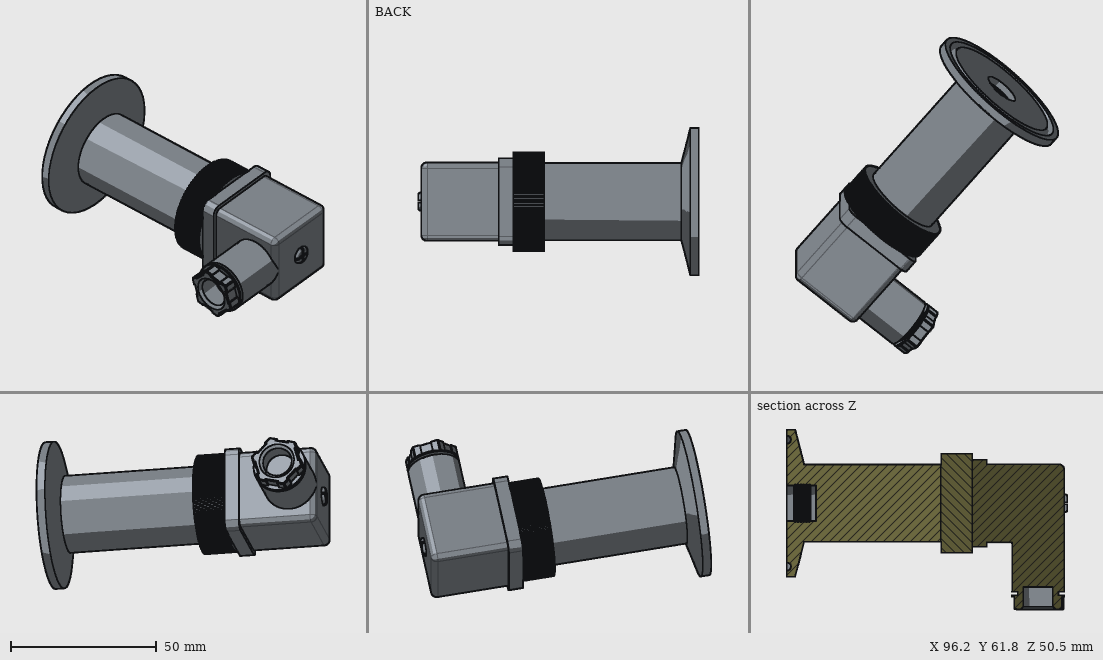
import cadquery as cq
import math


flange_diameter = 50.5
flange_rim_thickness = 3.0
flange_length = 6.1
tube_diameter = 26.55
tube_end = 52.9

groove_inner_diameter = 40.9
groove_outer_diameter = 46.2
groove_depth = 1.4

bore_diameter = 12.0
bore_depth = 10.0
thread_start = 2.5
thread_pitch = 1.0
thread_depth = 0.5
thread_turns = 6

collar_diameter = 34.0
collar_length = 10.8
knurl_teeth = 90
knurl_depth = 0.3

plate_size = 29.8
plate_length = 4.9
plate_corner_radius = 3.0
box_size = 26.9
box_length = 26.55
box_edge_radius = 2.0

total_length = 96.2
screw_diameter = 6.35
screw_edge_radius = 1.0
slot_width = 0.7

barrel_diameter = 18.0
barrel_reach = 30.4
neck_diameter = 14.1
neck_length = 1.1
nut_length = 5.0
nut_rim_length = 0.6
nut_sides = 6
nut_corner_diameter = 18.3
nut_turn = 46.0
nut_notch_width = 3.9
nut_notch_depth = 0.5
nut_end_chamfer = 0.4
cable_bore_diameter = 10.0
cable_bore_depth = 7.7
cable_bore_chamfer = 1.1

collar_end = tube_end + collar_length
plate_end = collar_end + plate_length
box_end = plate_end + box_length
screw_height = total_length - box_end
outlet_x = box_end - barrel_diameter / 2
nut_start = barrel_reach + neck_length
nut_end = nut_start + nut_length


def section_at(x):
    """Workplane across the main axis at the given x."""
    return cq.Workplane("YZ", origin=(x, 0, 0))


def outlet_section_at(reach):
    """Workplane across the cable outlet, `reach` away from the main axis; extrudes toward -Y."""
    return cq.Workplane("XZ", origin=(outlet_x, -reach, 0))


def spin(profile):
    """Revolve a closed XY profile about the X axis."""
    return profile.close().revolve(360, (0, 0, 0), (1, 0, 0))



def flange_and_tube():
    return spin(
        cq.Workplane("XY")
        .lineTo(0, flange_diameter / 2)
        .lineTo(flange_rim_thickness, flange_diameter / 2)
        .lineTo(flange_length, tube_diameter / 2)
        .lineTo(tube_end, tube_diameter / 2)
        .lineTo(tube_end, 0)
    )


def seal_groove():
    inner_radius = groove_inner_diameter / 2
    outer_radius = groove_outer_diameter / 2
    middle_radius = (inner_radius + outer_radius) / 2
    return spin(
        cq.Workplane("XY")
        .moveTo(0, inner_radius)
        .threePointArc((groove_depth, middle_radius), (0, outer_radius))
    )


def threaded_bore():
    """Plain bore with a row of V-shaped thread grooves, made from one saw-edged profile."""
    bore_radius = bore_diameter / 2
    profile = cq.Workplane("XY").lineTo(0, bore_radius).lineTo(thread_start, bore_radius)
    for turn in range(thread_turns):
        groove_x = thread_start + turn * thread_pitch
        profile = profile.lineTo(groove_x + thread_pitch / 2, bore_radius + thread_depth)
        profile = profile.lineTo(groove_x + thread_pitch, bore_radius)
    return spin(profile.lineTo(bore_depth, bore_radius).lineTo(bore_depth, 0))


def make_flanged_tube():
    return flange_and_tube().cut(seal_groove()).cut(threaded_bore())



def make_knurled_collar():
    """Disc with straight teeth; tips and gaps each take half of the tooth pitch."""
    tip_radius = collar_diameter / 2
    root_radius = tip_radius - knurl_depth
    pitch_angle = 2 * math.pi / knurl_teeth
    half_tip = pitch_angle / 4
    corners = (
        (root_radius, -half_tip),
        (tip_radius, -half_tip),
        (tip_radius, half_tip),
        (root_radius, half_tip),
    )
    points = []
    for tooth in range(knurl_teeth):
        for radius, offset_angle in corners:
            angle = tooth * pitch_angle + offset_angle
            points.append((radius * math.cos(angle), radius * math.sin(angle)))
    return section_at(tube_end).polyline(points).close().extrude(collar_length)



def base_plate():
    plate = section_at(collar_end).rect(plate_size, plate_size).extrude(plate_length)
    return plate.edges("|X").fillet(plate_corner_radius)


def connector_box():
    box = section_at(plate_end).rect(box_size, box_size).extrude(box_length)
    return box.edges("|X or >X").fillet(box_edge_radius)


def screw_head():
    head = section_at(box_end).circle(screw_diameter / 2).extrude(screw_height)
    head = head.faces(">X").edges().fillet(screw_edge_radius)
    slot = section_at(box_end).rect(slot_width, screw_diameter).extrude(screw_height)
    return head.cut(slot).cut(slot.rotate((0, 0, 0), (1, 0, 0), 90))


def gland_nut():
    """Round rim, then a hexagon with rounded corners and a shallow notch along each flat."""
    rim = outlet_section_at(nut_start).circle(barrel_diameter / 2).extrude(nut_rim_length)
    hexagon_start = nut_start + nut_rim_length
    hexagon_length = nut_length - nut_rim_length
    side_angle = 360 / nut_sides
    flat_distance = nut_corner_diameter / 2 * math.cos(math.pi / nut_sides)
    hexagon = (
        outlet_section_at(hexagon_start)
        .transformed(rotate=(0, 0, nut_turn))
        .polygon(nut_sides, nut_corner_diameter)
        .extrude(hexagon_length)
    )
    for side in range(nut_sides):
        notch = (
            outlet_section_at(hexagon_start)
            .transformed(rotate=(0, 0, nut_turn + (side + 0.5) * side_angle))
            .center(flat_distance, 0)
            .rect(2 * nut_notch_depth, nut_notch_width)
            .extrude(hexagon_length)
        )
        hexagon = hexagon.cut(notch)
    envelope = outlet_section_at(hexagon_start).circle(barrel_diameter / 2).extrude(hexagon_length)
    hexagon = hexagon.intersect(envelope)
    hexagon = hexagon.faces("<Y").chamfer(nut_end_chamfer)
    return rim.union(hexagon)


def cable_bore():
    bore = outlet_section_at(nut_end - cable_bore_depth).circle(cable_bore_diameter / 2)
    bore = bore.extrude(cable_bore_depth)
    mouth_radius = cable_bore_diameter / 2 + cable_bore_chamfer
    mouth = cq.Solid.makeCone(
        mouth_radius,
        cable_bore_diameter / 2,
        cable_bore_chamfer,
        cq.Vector(outlet_x, -nut_end, 0),
        cq.Vector(0, 1, 0),
    )
    return bore.union(cq.Workplane(mouth))


def make_connector():
    barrel = outlet_section_at(0).circle(barrel_diameter / 2).extrude(barrel_reach)
    neck = outlet_section_at(barrel_reach).circle(neck_diameter / 2).extrude(neck_length)
    body = base_plate().union(connector_box()).union(screw_head())
    body = body.union(barrel).union(neck).union(gland_nut())
    return body.cut(cable_bore())


flanged_tube = make_flanged_tube()
knurled_collar = make_knurled_collar()
connector = make_connector()

result = cq.Compound.makeCompound([flanged_tube.val(), knurled_collar.val(), connector.val()])